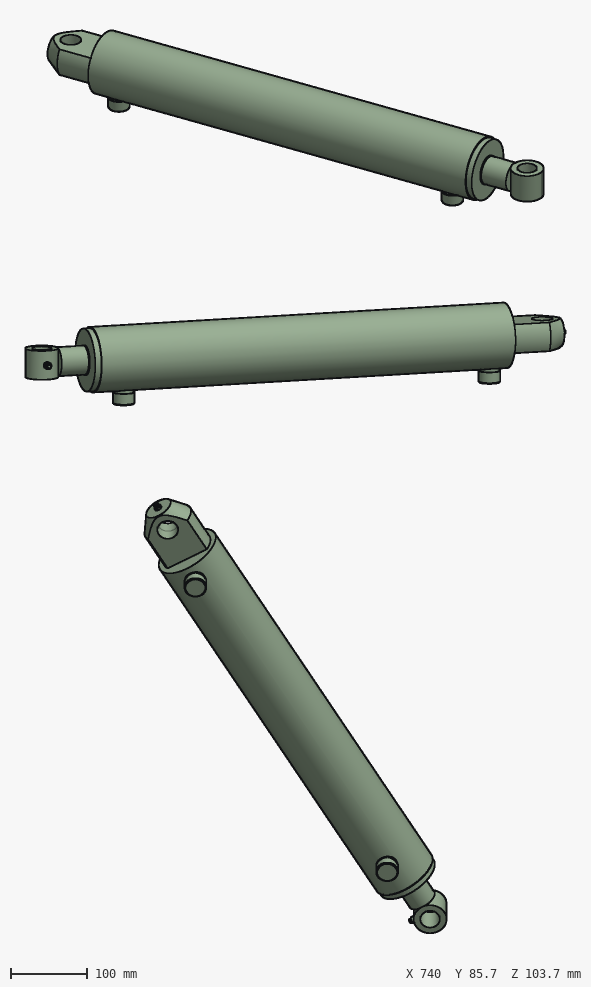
import cadquery as cq


overall_length = 740.0
overall_height = 103.7

barrel_diameter = 85.725
barrel_length = 568.0
gland_diameter = 82.55
gland_length = 8.5
gland_face_x = barrel_length + gland_length
wiper_diameter = 39.0
wiper_length = 1.5

lug_diameter = 70.0
lug_thickness = 38.1
lug_end_diameter = 37.0
lug_face_x = -75.5
lug_cone_start_x = -51.0
lug_bore_diameter = 27.0

port_diameter = 28.6
port_neck_diameter = 26.0
port_bottom_depth = overall_height - barrel_diameter / 2
port_boss_height = 15.4
port_neck_top_depth = barrel_diameter / 4
port_chamfer = 1.5
port_positions_x = (21.5, 523.5)

rod_diameter = 38.1
rod_socket_depth = 60.0
rod_eye_diameter = 43.0
rod_eye_bore_diameter = 25.4
rod_eye_x = 636.0
rod_end_x = rod_eye_x - 21.0

nipple_body_diameter = 9.0
nipple_head_diameter = 6.5
nipple_neck_diameter = 5.0
nipple_tip_diameter = 4.5
nipple_length = 11.0
nipple_body_length = 7.0
nipple_neck_length = 1.5
nipple_tip_length = 1.0
lug_nipple_tip_x = rod_eye_x + rod_eye_diameter / 2 - overall_length
eye_nipple_tip_y = 30.5


def bar_x(diameter, start_x, end_x):
    """Round bar along X between two stations."""
    return cq.Workplane("YZ", origin=(start_x, 0, 0)).circle(diameter / 2).extrude(end_x - start_x)


def bar_z(diameter, x, height):
    """Upright round bar centred on Z = 0."""
    return cq.Workplane("XY", origin=(x, 0, 0)).circle(diameter / 2).extrude(height / 2, both=True)


def make_nipple():
    """Grease nipple along Z with its tip at the origin, pointing up."""
    head_bottom_z = nipple_body_length + nipple_neck_length - nipple_length
    return (
        cq.Workplane("XZ")
        .lineTo(nipple_tip_diameter / 2, 0)
        .lineTo(nipple_head_diameter / 2, -nipple_tip_length)
        .lineTo(nipple_neck_diameter / 2, head_bottom_z)
        .lineTo(nipple_body_diameter / 2, nipple_body_length - nipple_length)
        .lineTo(nipple_body_diameter / 2, -nipple_length)
        .lineTo(0, -nipple_length)
        .close()
        .revolve(360, (0, 0, 0), (0, 1, 0))
    )


def make_lug():
    """Base lug turned about X, then flattened top and bottom."""
    turned = (
        cq.Workplane("XZ")
        .lineTo(0, lug_diameter / 2)
        .lineTo(lug_cone_start_x, lug_diameter / 2)
        .lineTo(lug_face_x, lug_end_diameter / 2)
        .lineTo(lug_face_x, 0)
        .close()
        .revolve(360, (0, 0, 0), (1, 0, 0))
    )
    flats = cq.Workplane("XY").box(-2 * lug_face_x, lug_diameter, lug_thickness)
    return turned.intersect(flats)


def make_port(x):
    """Port boss with a narrower neck running up into the barrel."""
    boss = (
        cq.Workplane("XY", origin=(x, 0, -port_bottom_depth))
        .circle(port_diameter / 2)
        .extrude(port_boss_height)
        .faces("<Z")
        .chamfer(port_chamfer)
    )
    neck = cq.Workplane("XY", origin=(x, 0, -port_bottom_depth)).circle(port_neck_diameter / 2)
    return boss.union(neck.extrude(port_bottom_depth - port_neck_top_depth))


lug_nipple = make_nipple().rotate((0, 0, 0), (0, 1, 0), -90).translate((lug_nipple_tip_x, 0, 0))
eye_nipple = make_nipple().rotate((0, 0, 0), (1, 0, 0), -90).translate((rod_eye_x, eye_nipple_tip_y, 0))

rod_start_x = gland_face_x - rod_socket_depth
rod = (
    bar_x(rod_diameter, rod_start_x, rod_end_x)
    .union(bar_z(rod_eye_diameter, rod_eye_x, rod_diameter))
    .cut(bar_z(rod_eye_bore_diameter, rod_eye_x, rod_diameter))
    .cut(eye_nipple)
)

cylinder = (
    bar_x(barrel_diameter, 0, barrel_length)
    .union(bar_x(gland_diameter, barrel_length, gland_face_x))
    .union(bar_x(wiper_diameter, gland_face_x, gland_face_x + wiper_length))
    .union(make_lug())
)
for port_x in port_positions_x:
    cylinder = cylinder.union(make_port(port_x))
cylinder = (
    cylinder.cut(bar_z(lug_bore_diameter, lug_cone_start_x, lug_thickness))
    .cut(bar_x(rod_diameter, rod_start_x, gland_face_x + wiper_length))
    .cut(lug_nipple)
)

result = cq.Compound.makeCompound([cylinder.val(), rod.val(), lug_nipple.val(), eye_nipple.val()])